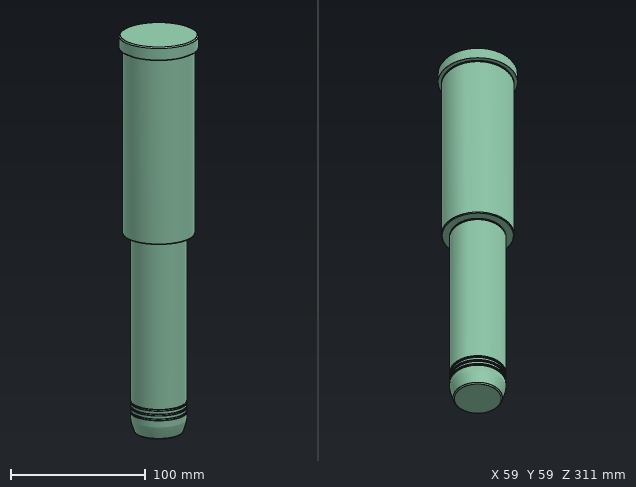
import cadquery as cq

total_length = 311.0
head_height = 10.0
sleeve_bottom = 155.5
nose_height = 10.3

head_radius = 59.0 / 2
sleeve_radius = 54.0 / 2
pin_radius = 42.0 / 2
tip_radius = 18.5

head_chamfer = 1.0
sleeve_chamfer = 0.5
tip_chamfer = 1.0
relief_height = 1.2
relief_depth = 0.5

groove_count = 3
groove_pitch = 3.7
groove_width = 1.2
groove_depth = 0.5
lowest_groove_bottom = 15.5

nose_bulge = 0.3


def cylinder(radius, bottom, top):
    return cq.Workplane("XY").workplane(offset=bottom).circle(radius).extrude(top - bottom)


def ring_groove(radius, depth, bottom, width):
    """Ring of material to cut from a shaft of the given radius."""
    return (
        cq.Workplane("XY")
        .workplane(offset=bottom)
        .circle(radius + depth)
        .circle(radius - depth)
        .extrude(width)
    )


def rounded_nose():
    """Lead-in with a slightly convex flank and a chamfered tip."""
    flank_middle = (
        (pin_radius + tip_radius) / 2 + nose_bulge,
        (nose_height + tip_chamfer) / 2,
    )
    return (
        cq.Workplane("XZ")
        .moveTo(0, 0)
        .lineTo(tip_radius - tip_chamfer, 0)
        .lineTo(tip_radius, tip_chamfer)
        .threePointArc(flank_middle, (pin_radius, nose_height))
        .lineTo(0, nose_height)
        .close()
        .revolve(360, (0, 0), (0, 1))
    )


head_bottom = total_length - head_height
head = cylinder(head_radius, head_bottom, total_length).faces(">Z").chamfer(head_chamfer)
sleeve = cylinder(sleeve_radius, sleeve_bottom, head_bottom).faces("<Z").chamfer(sleeve_chamfer)
pin = cylinder(pin_radius, nose_height, sleeve_bottom)
result = head.union(sleeve).union(pin).union(rounded_nose())

for radius, shoulder in ((sleeve_radius, head_bottom), (pin_radius, sleeve_bottom)):
    relief = ring_groove(radius, relief_depth, shoulder - relief_height, relief_height)
    result = result.cut(relief)

for index in range(groove_count):
    groove_bottom = lowest_groove_bottom + index * groove_pitch
    result = result.cut(ring_groove(pin_radius, groove_depth, groove_bottom, groove_width))